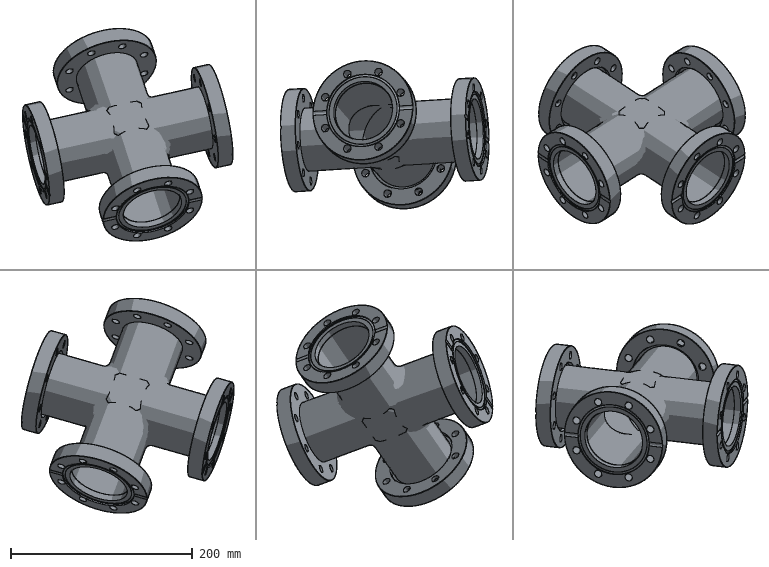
import cadquery as cq
import math

span = 210.0
flange_dia = 113.5
flange_thick = 17.2
rim_chamfer = 0.5

tube_dia = 70.0
tube_bore = 66.0
crotch_radius = 8.2
crotch_half_height = 31.0
crown_reach = 17.8
crown_rise = 0.5
crown_depth = 6.3

neck_bore = 66.5
tube_end_depth = 8.5
recess_dia = 82.3
knife_dia = 77.0
knife_depth = 0.6
knife_root_depth = 1.7
seat_depth = 1.3

hub_dia = 82.5
hub_back_depth = 12.5
ring_bore = 83.2
ring_back_bore = 76.6

bolt_count = 8
bolt_dia = 8.5
bolt_circle_dia = 92.2
groove_width = 4.6
groove_depth = 1.0

half_span = span / 2
tube_length = span - 2 * tube_end_depth
groove_radius = (groove_width**2 / 4 + groove_depth**2) / (2 * groove_depth)


def tube_arms(diameter, length):
    """Two crossing cylinders centred on the origin, along X and along Y."""
    arms = []
    for axis in ((1, 0, 0), (0, 1, 0)):
        section = cq.Workplane(cq.Plane(origin=(0, 0, 0), xDir=(0, 0, 1), normal=axis))
        arms.append(section.circle(diameter / 2).extrude(length / 2, both=True))
    return arms[0].union(arms[1])


def crotch_core():
    """Middle slab of the arms with a fillet in each of the four crotches."""
    slab = cq.Workplane("XY").box(span, span, 2 * crotch_half_height)
    core = tube_arms(tube_dia, tube_length).intersect(slab)
    reach = tube_dia / 2 + crotch_radius
    crotches = cq.selectors.BoxSelector((-reach, -reach, -2), (reach, reach, 2))
    return core.edges(crotches).fillet(crotch_radius)


def crown_block():
    """Block whose top is the smooth patch where the four arms meet at the top."""
    radius = tube_dia / 2
    half_width = math.sqrt(radius**2 - crotch_half_height**2)
    corner_reach = half_width * (radius + crotch_radius) / radius

    side_points = []
    for step in (-1, -0.5, 0, 0.5, 1):
        across = step * half_width
        along = crown_reach + (corner_reach - crown_reach) * step**2
        height = math.sqrt(radius**2 - across**2)
        side_points.append(cq.Vector(along, across, height))
    side = cq.Edge.makeSpline(side_points)

    corner = cq.Edge.makeLine(
        cq.Vector(corner_reach, half_width, crotch_half_height),
        cq.Vector(half_width, corner_reach, crotch_half_height),
    )

    border = []
    for angle in (0, 90, 180, 270):
        for edge in (side, corner):
            border.append(edge.rotate(cq.Vector(0, 0, 0), cq.Vector(0, 0, 1), angle))
    top_point = cq.Vector(0, 0, radius + crown_rise)
    patch = cq.Face.makeNSidedSurface(border, [top_point])
    return cq.Workplane(cq.Solid.extrudeLinear(patch, cq.Vector(0, 0, -crown_depth)))


def make_tube():
    outside = tube_arms(tube_dia, tube_length).union(crotch_core())
    crown = crown_block()
    outside = outside.union(crown).union(crown.mirror("XY"))
    return outside.cut(tube_arms(tube_bore, tube_length))


def revolve_profile(points):
    """Turn (radius, depth) points about Z; depth runs down from the face at Z = 0."""
    outline = [(radius, -depth) for radius, depth in points]
    return cq.Workplane("XZ").polyline(outline).close().revolve(360, (0, 0, 0), (0, 1, 0))


def knife_profile(outer_dia):
    """Points from the tube socket shoulder, up the bore, over the knife edge to outer_dia."""
    return [
        (tube_dia / 2, tube_end_depth),
        (neck_bore / 2, tube_end_depth),
        (neck_bore / 2, seat_depth),
        (knife_dia / 2, seat_depth),
        (knife_dia / 2, knife_depth),
        (outer_dia / 2, knife_root_depth),
    ]


def rim_profile():
    """Points across the chamfered outer rim, from the face to the back of the flange."""
    return [
        (flange_dia / 2 - rim_chamfer, 0),
        (flange_dia / 2, rim_chamfer),
        (flange_dia / 2, flange_thick - rim_chamfer),
        (flange_dia / 2 - rim_chamfer, flange_thick),
    ]


def drill_bolts_and_grooves(flange, inner_dia):
    """Cut the bolt holes and the two grooves that run out along Y from inner_dia."""
    bolts = (
        cq.Workplane("XY")
        .polarArray(bolt_circle_dia / 2, 180 / bolt_count, 360, bolt_count)
        .circle(bolt_dia / 2)
        .extrude(-flange_thick)
    )
    groove_axis_height = groove_radius - groove_depth
    grooves = (
        cq.Workplane("XZ")
        .center(0, groove_axis_height)
        .circle(groove_radius)
        .extrude(flange_dia, both=True)
    )
    inside = cq.Workplane("XY").circle(inner_dia / 2).extrude(2 * flange_thick, both=True)
    return flange.cut(bolts).cut(grooves.cut(inside))


def make_fixed_flange():
    back = [(tube_dia / 2, flange_thick)]
    front = [(recess_dia / 2, 0)]
    profile = knife_profile(recess_dia) + front + rim_profile() + back
    return drill_bolts_and_grooves(revolve_profile(profile), recess_dia)


def make_hub():
    back = [(hub_dia / 2, hub_back_depth), (tube_dia / 2, hub_back_depth)]
    return revolve_profile(knife_profile(hub_dia) + back)


def make_ring():
    inner = [
        (ring_back_bore / 2, flange_thick),
        (ring_back_bore / 2, hub_back_depth),
        (ring_bore / 2, hub_back_depth),
        (ring_bore / 2, 0),
    ]
    return drill_bolts_and_grooves(revolve_profile(inner + rim_profile()), ring_bore)


def place_on_arm(body, direction):
    """Set the face at the end of the arm that points at this angle from +X."""
    return (
        body.rotate((0, 0, 0), (0, 1, 0), 90)
        .translate((half_span, 0, 0))
        .rotate((0, 0, 0), (0, 0, 1), direction)
    )


tube = make_tube()
fixed_flanges = [place_on_arm(make_fixed_flange(), angle) for angle in (90, 180)]
hubs = [place_on_arm(make_hub(), angle) for angle in (0, 270)]
rings = [place_on_arm(make_ring(), angle) for angle in (0, 270)]

bodies = [tube, *fixed_flanges, *hubs, *rings]
result = cq.Compound.makeCompound([body.val() for body in bodies])